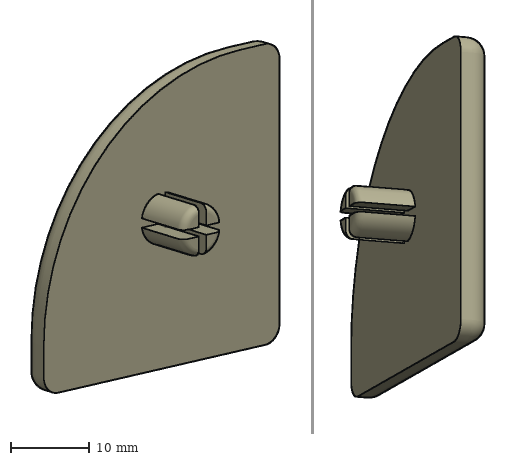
import cadquery as cq

side = 40.0
plate_thickness = 4.0
sweep_radius = 33.3
edge_radius = 2.5

pin_diameter = 6.9
pin_length = 8.0
slot_width = 1.25
tip_radius = 1.0

half = side / 2
sweep_start = half - sweep_radius


def make_plate():
    """Square-cornered quarter round with a rounded outer rim."""
    outline = (
        cq.Workplane("YZ")
        .moveTo(half, -half)
        .lineTo(half, half)
        .lineTo(-sweep_start, half)
        .radiusArc((-half, sweep_start), -sweep_radius)
        .lineTo(-half, -half)
        .close()
    )
    plate = outline.extrude(plate_thickness)
    for y, z in ((half, -half), (half, half), (-half, -half)):
        corner = cq.selectors.BoxSelector(
            (-0.4, y - 0.4, z - 0.4), (plate_thickness + 0.4, y + 0.4, z + 0.4)
        )
        plate = plate.edges("|X").edges(corner).fillet(edge_radius)
    return plate.faces("<X").edges().fillet(edge_radius)


def make_pin():
    """Round pin with a rounded tip, split into four prongs by a cross slot."""
    pin = (
        cq.Workplane("YZ", origin=(plate_thickness, 0, 0))
        .circle(pin_diameter / 2)
        .extrude(pin_length)
        .faces(">X")
        .edges()
        .fillet(tip_radius)
    )
    for slot_size in ((slot_width, pin_diameter), (pin_diameter, slot_width)):
        slot = (
            cq.Workplane("YZ", origin=(plate_thickness, 0, 0))
            .rect(*slot_size)
            .extrude(pin_length)
        )
        pin = pin.cut(slot)
    return pin


result = make_plate().union(make_pin())